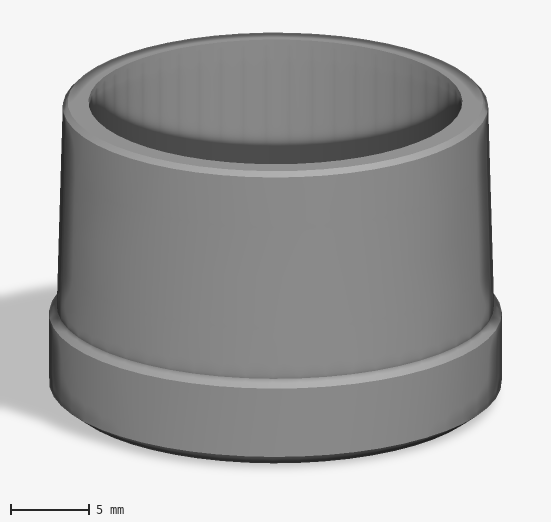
import cadquery as cq

collar_diameter = 29.0
total_height = 19.8
bore_diameter = 23.95

bottom_chamfer_height = 0.8
bottom_chamfer_width = 1.07
collar_height = 5.95
collar_top_chamfer = 0.5

sleeve_top_diameter = 27.25
rim_chamfer = 0.32

collar_radius = collar_diameter / 2
bore_radius = bore_diameter / 2
sleeve_base_radius = collar_radius - collar_top_chamfer
sleeve_top_radius = sleeve_top_diameter / 2

section = [
    (bore_radius, 0),
    (collar_radius - bottom_chamfer_width, 0),
    (collar_radius, bottom_chamfer_height),
    (collar_radius, collar_height - collar_top_chamfer),
    (sleeve_base_radius, collar_height),
    (sleeve_top_radius, total_height - rim_chamfer),
    (sleeve_top_radius - rim_chamfer, total_height),
    (bore_radius, total_height),
]

result = cq.Workplane("XZ").polyline(section).close().revolve(360, (0, 0), (0, 1))